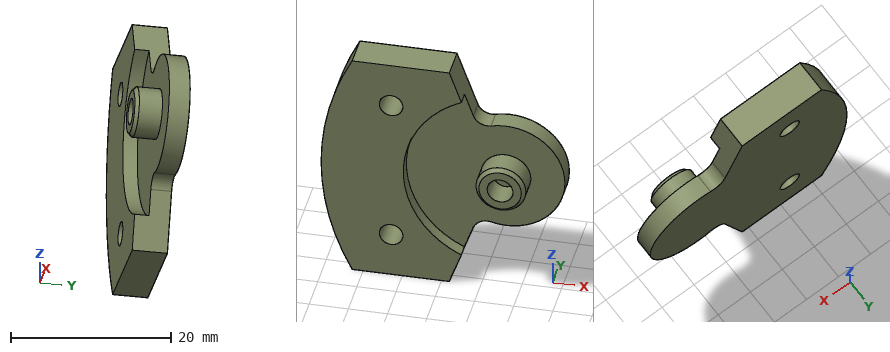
import cadquery as cq
import math

height = 31.6
left_reach = 23.2
left_corner_x = -19.2
right_corner_x = -6.82
flank_angle = 20.0
plate_thickness = 4.5

lobe_radius = 7.52
lobe_thickness = 2.65
neck_fillet = 1.9
recess_radius = 12.7

boss_diameter = 6.35
boss_top = 6.05
boss_chamfer = 0.47
boss_hole_diameter = 3.3
boss_hole_depth = boss_top - lobe_thickness

pin_hole_diameter = 3.0
pin_hole_x = -14.25
pin_hole_spacing = 19.52

half_height = height / 2
flank_meeting_x = right_corner_x + half_height * math.tan(math.radians(flank_angle))


def back_plane(offset=0.0):
    """XZ sketch plane, raised toward -Y by the offset; extrusions run toward -Y."""
    return cq.Workplane("XZ", origin=(0, -offset, 0))


def make_plate():
    """Plate with a curved left side and flanks converging inside the round lobe."""
    sector = (
        back_plane()
        .moveTo(left_corner_x, half_height)
        .lineTo(right_corner_x, half_height)
        .lineTo(flank_meeting_x, 0)
        .lineTo(right_corner_x, -half_height)
        .lineTo(left_corner_x, -half_height)
        .threePointArc((-left_reach, 0), (left_corner_x, half_height))
        .close()
        .extrude(plate_thickness)
    )
    lobe = back_plane().circle(lobe_radius).extrude(plate_thickness)
    neck_region = cq.selectors.BoxSelector(
        (right_corner_x + 0.32, -plate_thickness, -lobe_radius),
        (0, 0, lobe_radius),
    )
    return sector.union(lobe).edges("|Y").edges(neck_region).fillet(neck_fillet)


def make_boss():
    """Round boss with a chamfered rim, rising from the recess floor."""
    boss = back_plane().circle(boss_diameter / 2).extrude(boss_top)
    return boss.faces("<Y").chamfer(boss_chamfer)


recess = (
    back_plane(lobe_thickness)
    .circle(recess_radius)
    .extrude(plate_thickness - lobe_thickness)
)
pin_holes = (
    back_plane()
    .pushPoints([(pin_hole_x, side * pin_hole_spacing / 2) for side in (-1, 1)])
    .circle(pin_hole_diameter / 2)
    .extrude(plate_thickness)
)
boss_hole = (
    back_plane(boss_top - boss_hole_depth)
    .circle(boss_hole_diameter / 2)
    .extrude(boss_hole_depth)
)

result = make_plate().cut(recess).cut(pin_holes).union(make_boss()).cut(boss_hole)